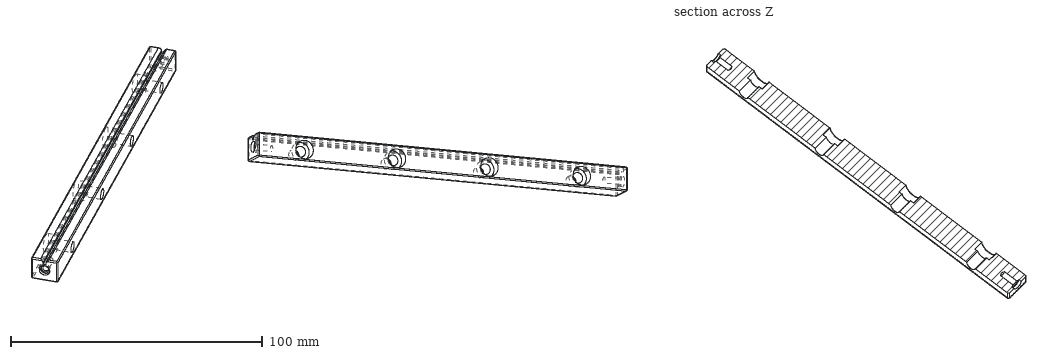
import cadquery as cq
import math

length = 160.0
width = 11.0
height = 10.0
long_edge_chamfer = 0.5
end_chamfer = 0.56

groove_width = 3.5
relief_width = 1.1
groove_depth = 2.0

mount_count = 4
mount_pitch = length / mount_count
mount_height = 4.5
mount_diameter = 4.3
counterbore_diameter = 7.5
counterbore_depth = 4.2

recess_diameter = 4.3
recess_depth = 1.3
countersink_diameter = 3.2
bore_diameter = 2.4
bore_depth = 8.0
drill_point_angle = 118.0
end_hole_height = height / 2


def rail_body():
    """Rectangular bar with its end edges and long edges chamfered."""
    bar = cq.Workplane("XY").box(width, length, height, centered=(True, True, False))
    bar = bar.faces("<Y or >Y").edges().chamfer(end_chamfer)
    return bar.edges("|Y").chamfer(long_edge_chamfer)


def groove():
    """90 degree V that ends in a flat-bottomed relief slot."""
    half_top = groove_width / 2
    half_slot = relief_width / 2
    slot_top = height - (half_top - half_slot)
    slot_floor = height - groove_depth
    return (
        cq.Workplane("XZ")
        .moveTo(-half_top, height)
        .lineTo(-half_slot, slot_top)
        .lineTo(-half_slot, slot_floor)
        .lineTo(half_slot, slot_floor)
        .lineTo(half_slot, slot_top)
        .lineTo(half_top, height)
        .close()
        .extrude(length / 2, both=True)
    )


def mounting_hole(y):
    """Through hole along X, counterbored from the -X side."""
    face = cq.Workplane("YZ", origin=(-width / 2, y, mount_height))
    through = face.circle(mount_diameter / 2).extrude(width)
    counterbore = face.circle(counterbore_diameter / 2).extrude(counterbore_depth)
    return through.union(counterbore)


def end_hole():
    """Blind stepped hole along Y from the -Y end, revolved from its half profile."""
    recess_radius = recess_diameter / 2
    sink_radius = countersink_diameter / 2
    bore_radius = bore_diameter / 2
    sink_bottom = recess_depth + sink_radius - bore_radius
    point_depth = bore_radius / math.tan(math.radians(drill_point_angle / 2))
    return (
        cq.Workplane("XY", origin=(0, -length / 2, end_hole_height))
        .lineTo(recess_radius, 0)
        .lineTo(recess_radius, recess_depth)
        .lineTo(sink_radius, recess_depth)
        .lineTo(bore_radius, sink_bottom)
        .lineTo(bore_radius, bore_depth)
        .lineTo(0, bore_depth + point_depth)
        .close()
        .revolve(360, (0, 0), (0, 1))
    )


result = rail_body().cut(groove())

for index in range(mount_count):
    hole_y = (index - (mount_count - 1) / 2) * mount_pitch
    result = result.cut(mounting_hole(hole_y))

near_end_hole = end_hole()
result = result.cut(near_end_hole).cut(near_end_hole.mirror("XZ"))